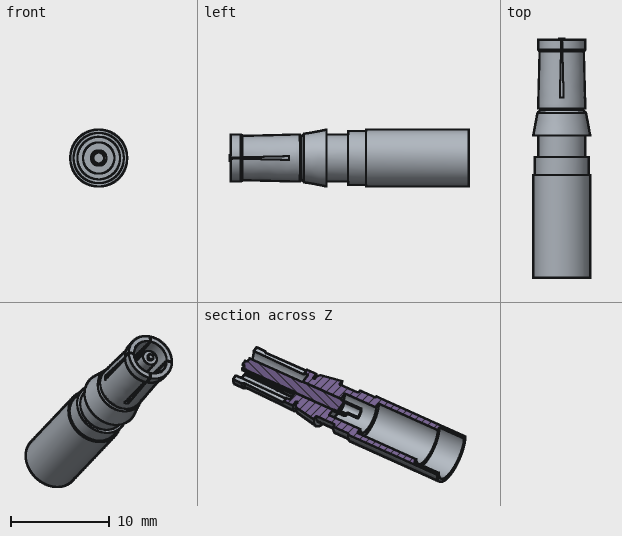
import cadquery as cq

total_length = 24.25
sleeve_end = 10.43
collar_end = 12.25
barb_base = 14.4
barb_shoulder = 16.68
barb_top = 16.98
collet_base = 17.12
taper_start = 17.5
taper_end = 22.92
head_base = 23.13
head_end = 24.13

sleeve_radius = 5.8 / 2
collar_radius = 2.75
shaft_radius = 2.4
barb_shoulder_radius = 2.47
barb_top_radius = 2.18
groove_radius = 1.75
finger_radius = 2.25

crimp_bore_radius = 2.55
crimp_bore_end = 2.84
middle_bore_radius = 2.15
middle_bore_end = 9.7
small_bore_radius = 1.588
small_bore_end = 13.34

collet_bore_radius = 1.82
collet_bore_start = 17.82
slit_root = 18.24
slit_root_width = 0.4
slit_tip_width = 0.085
slit_count = 4

contact_radius = 0.78
contact_tip_radius = 0.3
contact_shoulder = 24.0
contact_rear = 10.91
cup_radius = 0.55
cup_depth = 1.95
cup_opening_length = 1.21


def rod(radius, start, end):
    """Cylinder on the Y axis between two stations."""
    return cq.Workplane("XZ", origin=(0, start, 0)).circle(radius).extrude(start - end)


def shell_blank():
    """Revolved outside form: sleeve, collar, shaft, barb and collet."""
    return (
        cq.Workplane("XY")
        .moveTo(0, 0)
        .lineTo(sleeve_radius, 0)
        .lineTo(sleeve_radius, sleeve_end)
        .lineTo(collar_radius, sleeve_end)
        .lineTo(collar_radius, collar_end)
        .lineTo(shaft_radius, collar_end)
        .lineTo(shaft_radius, barb_base)
        .lineTo(sleeve_radius, barb_base)
        .lineTo(barb_shoulder_radius, barb_shoulder)
        .lineTo(barb_top_radius, barb_top)
        .lineTo(groove_radius, barb_top)
        .lineTo(groove_radius, collet_base)
        .lineTo(shaft_radius, collet_base)
        .lineTo(shaft_radius, taper_start)
        .lineTo(finger_radius, taper_end)
        .lineTo(shaft_radius, head_base)
        .lineTo(shaft_radius, head_end)
        .lineTo(0, head_end)
        .close()
        .revolve(360, (0, 0, 0), (0, 1, 0))
    )


def slit_cutter():
    """Wedge above the axis that narrows toward the collet head."""
    return (
        cq.Workplane("XY")
        .polyline([
            (-slit_root_width / 2, slit_root),
            (slit_root_width / 2, slit_root),
            (slit_tip_width / 2, total_length),
            (-slit_tip_width / 2, total_length),
        ])
        .close()
        .extrude(sleeve_radius)
    )


def make_shell():
    shell = shell_blank()
    shell = shell.cut(rod(crimp_bore_radius, 0, crimp_bore_end))
    shell = shell.cut(rod(middle_bore_radius, crimp_bore_end, middle_bore_end))
    shell = shell.cut(rod(small_bore_radius, middle_bore_end, small_bore_end))
    shell = shell.cut(rod(contact_radius, small_bore_end, collet_bore_start))
    shell = shell.cut(rod(collet_bore_radius, collet_bore_start, head_end))
    for index in range(slit_count):
        angle = index * 360 / slit_count
        shell = shell.cut(slit_cutter().rotate((0, 0, 0), (0, 1, 0), angle))
    return shell


def make_contact():
    contact = rod(contact_radius, contact_rear, contact_shoulder)
    contact = contact.union(rod(contact_tip_radius, contact_shoulder, total_length))
    contact = contact.cut(rod(cup_radius, contact_rear, contact_rear + cup_depth))
    opening = cq.Workplane("XY").box(
        contact_radius, cup_opening_length, 2 * contact_radius, centered=(False, False, True)
    ).translate((-contact_radius, contact_rear, 0))
    return contact.cut(opening)


shell = make_shell()
contact = make_contact()

result = cq.Compound.makeCompound([shell.val(), contact.val()])